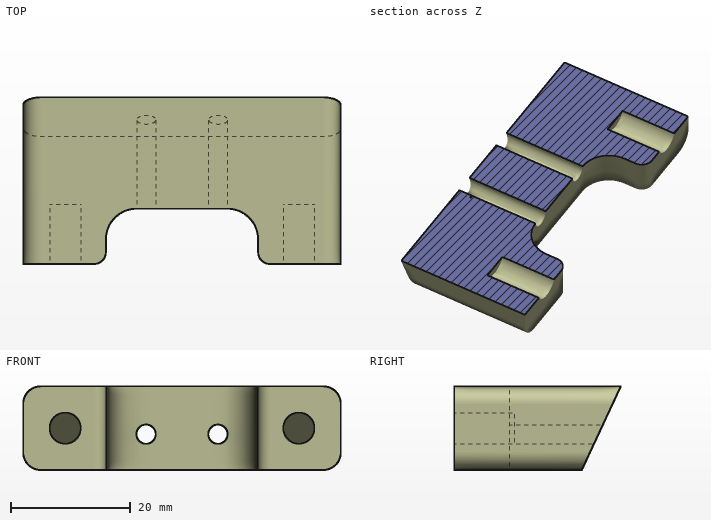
import cadquery as cq
import math

length = 53.0
depth = 27.8
height = 14.0
edge_radius = 6.0 / 2
back_slope_angle = 25.0

notch_width = 25.35
notch_depth = 9.2
notch_inner_radius = 5.1
notch_mouth_radius = 2.0

foot_hole_diameter = 5.2
foot_hole_spacing = 38.95
foot_hole_depth = 10.0

screw_hole_diameter = 3.2
screw_hole_spacing = 12.0
screw_hole_z = -1.0


def rounded_block():
    """Bar along Y whose four long edges are rounded."""
    return (
        cq.Workplane("XY")
        .box(length, depth, height, centered=(True, False, True))
        .edges("|Y")
        .fillet(edge_radius)
    )


def back_wedge():
    """Material below the sloped back face, which leans in towards the bottom."""
    setback = height * math.tan(math.radians(back_slope_angle))
    return (
        cq.Workplane("YZ")
        .polyline([
            (depth, height / 2),
            (depth, -height / 2),
            (depth - setback, -height / 2),
        ])
        .close()
        .extrude(length / 2, both=True)
    )


def notch():
    """Vertical notch with rounded inner corners and a flared, rounded mouth."""
    half_width = notch_width / 2
    mouth_half_width = half_width + notch_mouth_radius
    floor_half_width = half_width - notch_inner_radius
    wall_end = notch_depth - notch_inner_radius
    return (
        cq.Workplane("XY")
        .moveTo(-mouth_half_width, 0)
        .radiusArc((-half_width, notch_mouth_radius), -notch_mouth_radius)
        .lineTo(-half_width, wall_end)
        .radiusArc((-floor_half_width, notch_depth), notch_inner_radius)
        .lineTo(floor_half_width, notch_depth)
        .radiusArc((half_width, wall_end), notch_inner_radius)
        .lineTo(half_width, notch_mouth_radius)
        .radiusArc((mouth_half_width, 0), -notch_mouth_radius)
        .close()
        .extrude(height / 2, both=True)
    )


def hole_pair(diameter, spacing, z, hole_depth):
    """Two holes running along +Y from the front plane, mirrored about X = 0."""
    return (
        cq.Workplane("XZ")
        .pushPoints([(-spacing / 2, z), (spacing / 2, z)])
        .circle(diameter / 2)
        .extrude(-hole_depth)
    )


result = (
    rounded_block()
    .cut(back_wedge())
    .cut(notch())
    .cut(hole_pair(foot_hole_diameter, foot_hole_spacing, 0, foot_hole_depth))
    .cut(hole_pair(screw_hole_diameter, screw_hole_spacing, screw_hole_z, depth))
)